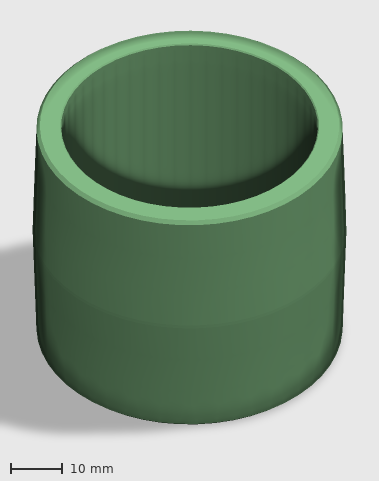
import cadquery as cq

height = 50.8
outer_radius = 30.2
end_radius = 29.5
bore_radius = 24.7
band_height = 0.7
outer_chamfer = 0.65
bore_chamfer = 0.25

face_radius = end_radius - outer_chamfer
half_height = height / 2
half_band = band_height / 2
wall_end = half_height - outer_chamfer

section = (
    cq.Workplane("XZ")
    .moveTo(bore_radius, -half_height + bore_chamfer)
    .lineTo(bore_radius + bore_chamfer, -half_height)
    .lineTo(face_radius, -half_height)
    .lineTo(end_radius, -wall_end)
    .lineTo(outer_radius, -half_band)
    .lineTo(outer_radius, half_band)
    .lineTo(end_radius, wall_end)
    .lineTo(face_radius, half_height)
    .lineTo(bore_radius + bore_chamfer, half_height)
    .lineTo(bore_radius, half_height - bore_chamfer)
    .close()
)

result = section.revolve(360, (0, 0, 0), (0, 1, 0))